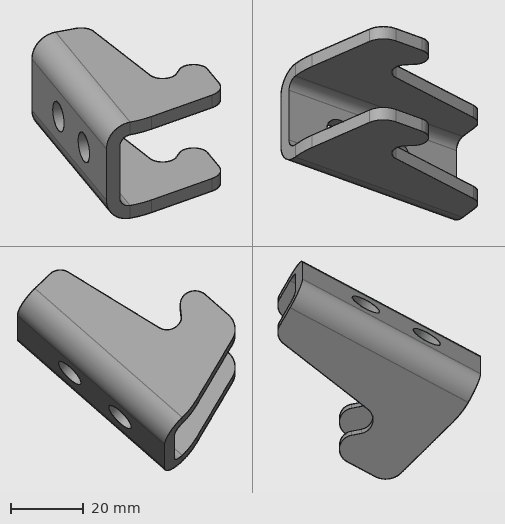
import cadquery as cq
import math

length = 56.0
depth = 38.0
height = 30.0

wall = 4.0
bend_radius = 7.0
inner_bend_radius = bend_radius - wall

hole_diameter = 8.5
hole_spacing = 19.1
first_hole_x = 19.95

corner_radius = 4.0
throat_radius = 4.0
throat_center = (32.05, 26.0)
hook_radius = 4.1
hook_center = (35.1, depth - hook_radius)
shoulder_radius = 6.0
shoulder_center = (43.9, depth - shoulder_radius)
foot_radius = 25.6
foot_center = (length - foot_radius, bend_radius)
ramp_angle = 10.0


def on_circle(center, radius, degrees):
    """Point on a circle at an angle measured from +X."""
    angle = math.radians(degrees)
    return (center[0] + radius * math.cos(angle), center[1] + radius * math.sin(angle))


def tangent_normal(start, end, offset, side):
    """Angle of the unit normal along which the two centers are `offset` apart."""
    dx = end[0] - start[0]
    dy = end[1] - start[1]
    swing = math.acos(offset / math.hypot(dx, dy))
    return math.degrees(math.atan2(dy, dx) + side * swing)


def add_arc(outline, center, radius, start, end):
    """Line to the start of an arc, then the arc itself."""
    outline = outline.lineTo(*on_circle(center, radius, start))
    middle = on_circle(center, radius, (start + end) / 2)
    return outline.threePointArc(middle, on_circle(center, radius, end))


def make_channel():
    """U channel open toward +Y, with rounded bends along X."""
    outer = cq.Workplane("XY").box(length, depth, height, centered=(False, False, True))
    outer = outer.edges("|X and <Y").fillet(bend_radius)
    inner = cq.Workplane("XY").box(
        length, depth - wall, height - 2 * wall, centered=(False, False, True)
    )
    inner = inner.edges("|X and <Y").fillet(inner_bend_radius)
    return outer.cut(inner.translate((0, wall, 0)))


def make_flange_blank():
    """Hook-shaped outline, extruded over the full height."""
    ramp_normal = 90 + ramp_angle
    ramp_end = on_circle(throat_center, throat_radius, ramp_normal - 180)
    corner_x = corner_radius
    corner_top_x = corner_x + corner_radius * math.cos(math.radians(ramp_normal))
    ramp_rise = (ramp_end[0] - corner_top_x) * math.tan(math.radians(ramp_angle))
    corner_y = ramp_end[1] - ramp_rise - corner_radius * math.sin(math.radians(ramp_normal))
    corner_center = (corner_x, corner_y)

    hook_normal = tangent_normal(throat_center, hook_center, throat_radius + hook_radius, -1)
    side_normal = tangent_normal(foot_center, shoulder_center, foot_radius - shoulder_radius, -1)

    outline = cq.Workplane("XY").workplane(offset=-height / 2).moveTo(0, 0)
    outline = add_arc(outline, corner_center, corner_radius, 180, ramp_normal)
    outline = add_arc(outline, throat_center, throat_radius, ramp_normal - 180, hook_normal)
    outline = add_arc(outline, hook_center, hook_radius, hook_normal + 180, 90)
    outline = add_arc(outline, shoulder_center, shoulder_radius, 90, side_normal)
    outline = add_arc(outline, foot_center, foot_radius, side_normal, 0)
    return outline.lineTo(length, 0).close().extrude(height)


def make_web_holes():
    """Cylinders passing through the web along Y."""
    centers = [(first_hole_x + i * hole_spacing, 0) for i in range(2)]
    holes = cq.Workplane("XZ").pushPoints(centers).circle(hole_diameter / 2)
    return holes.extrude(-wall)


result = make_channel().intersect(make_flange_blank()).cut(make_web_holes())